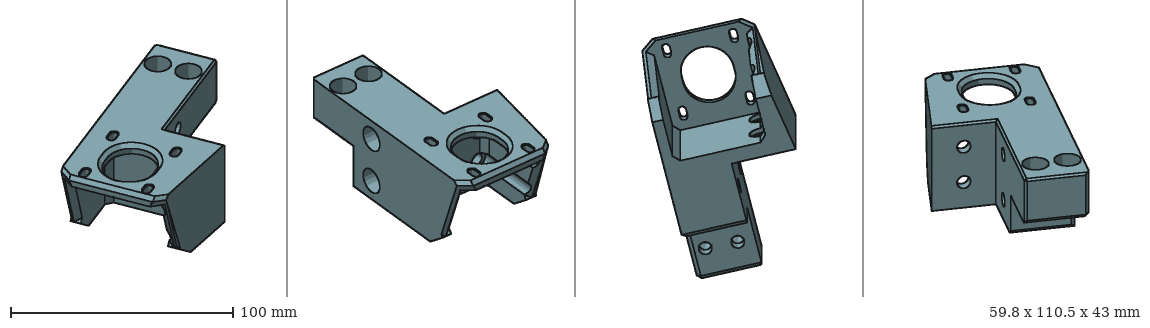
import cadquery as cq

WIDTH = 59.8
LENGTH = 110.5
HEIGHT = 43.0

ARM_WIDTH = 30.1
SHOULDER_Y = 51.6
RIGHT_TAPER = 0.163

ARM_UNDERSIDE = 20.0
FOOT_REAR_Y = 81.7
BEVEL_Y = 23.8
LEG_TIP_Z = 7.0
LEG_LEAN = 0.341

PLATE = 5.0
CENTRE_X = 26.5
CENTRE_Y = 21.5
POCKET_WIDTH = 43.0
POCKET_REAR_Y = 44.8
POCKET_CORNER = 3.0
PLATE_UNDERSIDE = HEIGHT - PLATE

CORNER_X = 6.0
CORNER_SLOPE = 0.78
RIGHT_INNER_SLOPE = 0.65
RIDGE_X = 1.8
RIGHT_FLAT_X = 52.2
RUNOUT_SLOPE = 1.4

CHAMFER = 2.0
SMALL_CHAMFER = 1.0

TRAVEL = 3.0
BORE_DIAMETER = 24.0
BOLT_SPACING = 31.0
BOLT_SLOT_WIDTH = 3.5
BOLT_SLOT_CHAMFER = 0.4

SCREW_DIAMETER = 6.2
ARM_SCREW_DIAMETER = 6.0
HEAD_DIAMETER = 12.0
HEAD_FLOOR = 6.0
SIDE_SCREW_Y = 66.5
SIDE_SCREW_Z = (10.1, 33.0)
ARM_SCREWS = ((7.1, 96.0), (22.0, 96.5))
REAR_SCREW_X = 44.9
REAR_SCREW_Z = (13.0, 31.0)
REAR_HEAD_DIAMETER = 10.0
REAR_HEAD_FLOOR_Y = 47.0

CORNER_Z = HEIGHT - CHAMFER
MARGIN = 11.0
TOLERANCE = 0.1


def lean(z):
    """Backward shift of the leaning leg section at height z."""
    return LEG_LEAN * (CORNER_Z - z)


def corner_y(x):
    """Y of the left corner face at height CORNER_Z."""
    return (CORNER_X - x) * CORNER_SLOPE


def leaning_prism(points, z_low, z_high):
    """Prism on a plan outline given at CORNER_Z, following the lean of the legs."""
    def section(z):
        return cq.Wire.makePolygon([cq.Vector(x, y + lean(z), z) for x, y in points], close=True)
    return cq.Workplane(obj=cq.Solid.makeLoft([section(z_low), section(z_high)], True))


def body():
    front_right_x = WIDTH - RIGHT_TAPER * SHOULDER_Y
    plan = [
        (0, 0),
        (front_right_x, 0),
        (WIDTH, SHOULDER_Y),
        (ARM_WIDTH, SHOULDER_Y),
        (ARM_WIDTH, LENGTH),
        (0, LENGTH),
    ]
    ridge_y = corner_y(RIDGE_X)
    profile = [
        (0, HEIGHT),
        (0, PLATE_UNDERSIDE),
        (ridge_y + lean(PLATE_UNDERSIDE), PLATE_UNDERSIDE),
        (ridge_y + lean(LEG_TIP_Z), LEG_TIP_Z),
        (BEVEL_Y, 0),
        (FOOT_REAR_Y, 0),
        (FOOT_REAR_Y, ARM_UNDERSIDE),
        (LENGTH, ARM_UNDERSIDE),
        (LENGTH, HEIGHT),
    ]
    block = cq.Workplane("XY").polyline(plan).close().extrude(HEIGHT)
    return block.intersect(cq.Workplane("YZ").polyline(profile).close().extrude(WIDTH))


def edges_inside(x_range, y_range, z_range):
    """Selector for edges whose middle lies in the given box, with a small tolerance."""
    low, high = zip(x_range, y_range, z_range)
    return cq.selectors.BoxSelector(
        [value - TOLERANCE for value in low],
        [value + TOLERANCE for value in high],
    )


def chamfer_rear(part):
    arm_x = (0, ARM_WIDTH)
    left_rear = edges_inside((0, 0), (LENGTH, LENGTH), (0, HEIGHT))
    left_under = edges_inside((0, 0), (FOOT_REAR_Y, LENGTH), (0, ARM_UNDERSIDE))
    arm_rear = edges_inside(arm_x, (LENGTH, LENGTH), (ARM_UNDERSIDE, ARM_UNDERSIDE))
    foot_rear = edges_inside(arm_x, (FOOT_REAR_Y, FOOT_REAR_Y), (0, 0))
    part = part.edges(left_rear + left_under + arm_rear + foot_rear).chamfer(CHAMFER)
    arm_corner = edges_inside((ARM_WIDTH, ARM_WIDTH), (LENGTH, LENGTH), (0, HEIGHT))
    rim = edges_inside((CHAMFER, WIDTH), (SHOULDER_Y, LENGTH), (HEIGHT, HEIGHT))
    upright = part.edges("|Z").edges(arm_corner)
    upper = part.edges("|X or |Y").edges(rim)
    return upright.add(upper).chamfer(SMALL_CHAMFER)


def above_runout():
    """Space above the sloped ends of the bevels at the leg tips."""
    tip_y = corner_y(RIDGE_X) + lean(LEG_TIP_Z)
    rear_y = SHOULDER_Y
    points = [
        (-MARGIN, LEG_TIP_Z),
        (tip_y, LEG_TIP_Z),
        (rear_y, LEG_TIP_Z + RUNOUT_SLOPE * (rear_y - tip_y)),
        (rear_y, HEIGHT + MARGIN),
        (-MARGIN, HEIGHT + MARGIN),
    ]
    return (
        cq.Workplane("YZ").workplane(offset=-MARGIN)
        .polyline(points).close().extrude(WIDTH + 2 * MARGIN)
    )


def corner_cutter():
    """Outer front corners of plate and legs."""
    flat_y = corner_y(2 * CENTRE_X - RIGHT_FLAT_X)
    right = WIDTH + MARGIN
    front = -LENGTH
    outline = [
        (-MARGIN, front),
        (-MARGIN, corner_y(-MARGIN)),
        (CENTRE_X, corner_y(CENTRE_X)),
        (RIGHT_FLAT_X, flat_y),
        (right, flat_y),
        (right, front),
    ]
    return leaning_prism(outline, LEG_TIP_Z, HEIGHT + MARGIN).intersect(above_runout())


def leg_inner_cutter():
    """Inner bevels that bring each leg front to a ridge."""
    ridge_y = corner_y(RIDGE_X)
    half_span = CENTRE_X - RIDGE_X
    outline = [
        (RIDGE_X, ridge_y),
        (CENTRE_X, ridge_y + CORNER_SLOPE * half_span),
        (CENTRE_X, ridge_y + RIGHT_INNER_SLOPE * half_span),
        (CENTRE_X + half_span, ridge_y),
    ]
    return leaning_prism(outline, LEG_TIP_Z, PLATE_UNDERSIDE).intersect(above_runout())


def pocket():
    left = CENTRE_X - POCKET_WIDTH / 2
    right = left + POCKET_WIDTH
    outline = [
        (left, -MARGIN),
        (right, -MARGIN),
        (right, POCKET_REAR_Y - POCKET_CORNER),
        (right - POCKET_CORNER, POCKET_REAR_Y),
        (left + POCKET_CORNER, POCKET_REAR_Y),
        (left, POCKET_REAR_Y - POCKET_CORNER),
    ]
    return cq.Workplane("XY").polyline(outline).close().extrude(PLATE_UNDERSIDE)


def chamfered_slot(x, y, width, chamfer):
    """Through slot along Y in the motor plate, flared at the top."""
    slot = cq.Workplane("XY", origin=(x, y, PLATE_UNDERSIDE)).slot2D(width + TRAVEL, width, 90)
    flare_width = width + 2 * chamfer
    flare = (
        cq.Workplane("XY", origin=(x, y, HEIGHT))
        .slot2D(flare_width + TRAVEL, flare_width, 90)
        .extrude(-chamfer, taper=45)
    )
    return slot.extrude(PLATE).union(flare)


def screw(origin, direction, through, hole, head, head_depth):
    """Counterbored hole that starts at the head side."""
    start = cq.Vector(*origin)
    axis = cq.Vector(*direction)
    shank = cq.Solid.makeCylinder(hole / 2, through, start, axis)
    seat = cq.Solid.makeCylinder(head / 2, head_depth, start, axis)
    return cq.Workplane(obj=shank.fuse(seat))


def chamfer_plate_front(part):
    front_rim = edges_inside((0, WIDTH), (0, corner_y(0)), (HEIGHT, HEIGHT))
    return part.edges(front_rim).chamfer(CHAMFER)


def motor_openings():
    openings = chamfered_slot(CENTRE_X, CENTRE_Y, BORE_DIAMETER, CHAMFER)
    half = BOLT_SPACING / 2
    for x in (CENTRE_X - half, CENTRE_X + half):
        for y in (CENTRE_Y - half, CENTRE_Y + half):
            openings = openings.union(chamfered_slot(x, y, BOLT_SLOT_WIDTH, BOLT_SLOT_CHAMFER))
    return openings


def drill_screws(part):
    arm_height = HEIGHT - ARM_UNDERSIDE
    for z in SIDE_SCREW_Z:
        part = part.cut(screw((0, SIDE_SCREW_Y, z), (1, 0, 0), ARM_WIDTH, SCREW_DIAMETER,
                              HEAD_DIAMETER, ARM_WIDTH - HEAD_FLOOR))
    for x, y in ARM_SCREWS:
        part = part.cut(screw((x, y, HEIGHT), (0, 0, -1), arm_height, ARM_SCREW_DIAMETER,
                              HEAD_DIAMETER, arm_height - HEAD_FLOOR))
    for z in REAR_SCREW_Z:
        part = part.cut(screw((REAR_SCREW_X, 0, z), (0, 1, 0), SHOULDER_Y, SCREW_DIAMETER,
                              REAR_HEAD_DIAMETER, REAR_HEAD_FLOOR_Y))
    return part


result = chamfer_rear(body())
result = result.cut(corner_cutter())
result = chamfer_plate_front(result)
result = result.cut(pocket())
result = result.cut(leg_inner_cutter())
result = result.cut(motor_openings())
result = drill_screws(result)